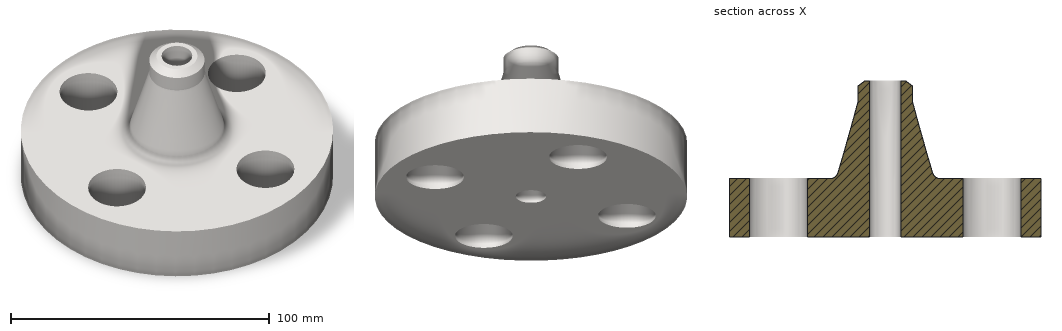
import cadquery as cq
import math

flange_diameter = 120.6
flange_thickness = 22.7
overall_height = 60.4

bolt_count = 4
bolt_circle_diameter = 82.5
bolt_hole_diameter = 22.3

hub_base_diameter = 38.0
hub_fillet_radius = 3.0
neck_diameter = 21.3
neck_height = 6.3
bevel_angle = 37.5
end_face_diameter = 15.8
bore_diameter = 11.8

bevel_height = (neck_diameter - end_face_diameter) / 2 * math.tan(math.radians(bevel_angle))
bevel_base_z = overall_height - bevel_height
neck_base_z = bevel_base_z - neck_height


def flange_with_hub():
    """Revolve the half section about Z, then round the foot of the hub."""
    half_section = (
        cq.Workplane("XZ")
        .polyline([
            (0, 0),
            (flange_diameter / 2, 0),
            (flange_diameter / 2, flange_thickness),
            (hub_base_diameter / 2, flange_thickness),
            (neck_diameter / 2, neck_base_z),
            (neck_diameter / 2, bevel_base_z),
            (end_face_diameter / 2, overall_height),
            (0, overall_height),
        ])
        .close()
    )
    body = half_section.revolve(360, (0, 0, 0), (0, 1, 0))
    hub_foot = cq.selectors.RadiusNthSelector(-2)
    return body.edges("%CIRCLE").edges(hub_foot).fillet(hub_fillet_radius)


def bore():
    return cq.Workplane("XY").circle(bore_diameter / 2).extrude(overall_height)


def bolt_holes():
    return (
        cq.Workplane("XY")
        .polarArray(bolt_circle_diameter / 2, 0, 360, bolt_count)
        .circle(bolt_hole_diameter / 2)
        .extrude(flange_thickness)
    )


result = flange_with_hub().cut(bore()).cut(bolt_holes())